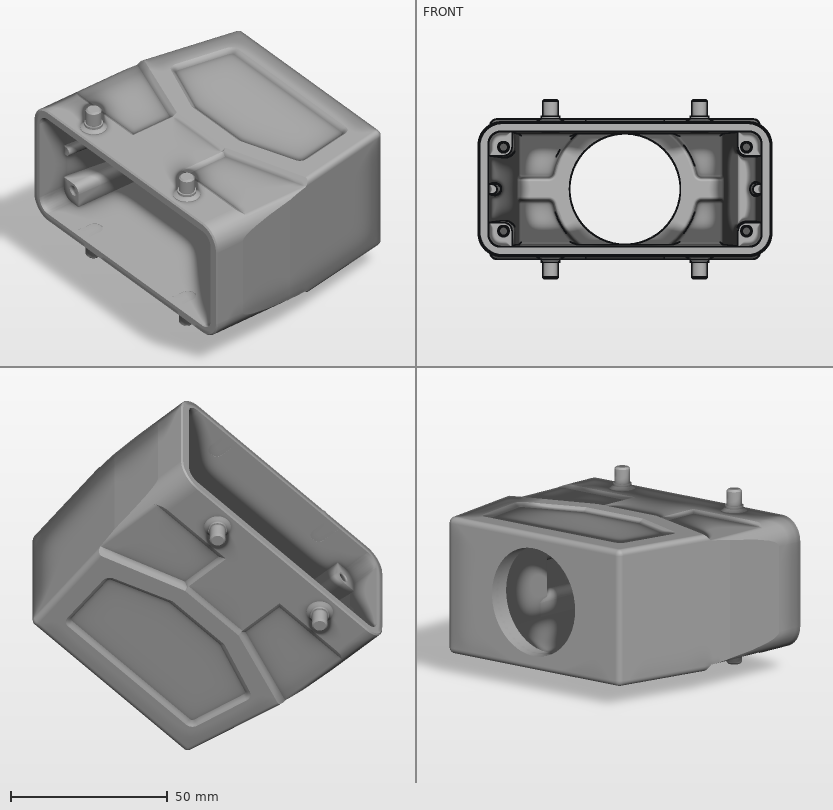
import cadquery as cq
LENGTH = 93.5
DEPTH = 76.0
RIM_HEIGHT = 42.8
RIM_CORNER_R = 7.5
RIM_CHAMFER = 0.5
BACK_HEIGHT = 44.7
BACK_HALF_LENGTH = 36.3
STRAIGHT_DEPTH = 10.7
KNEE_DEPTH = 31.8
KNEE_HALF_LENGTH = 44.4
BACK_FILLET = 1.9

PANEL_FRONT_Y = 31.0
PANEL_FRONT_HALF = 12.4
PANEL_SLOPE = 0.34
PANEL_BEVEL_ANGLE = 45.0
PANEL_FRONT_RUN = 1.7
PAD_FRONT_Y = 13.1
PAD_FLOOR_Z = 20.4
PAD_BEVEL_ANGLE = 58.0
PAD_EDGE_R = 2.1

LABEL_BACK_Y = 68.1
LABEL_BACK_HALF = 29.7
LABEL_SIDE_Y = 45.0
LABEL_SIDE_HALF = 33.85
LABEL_FRONT_Y = 36.8
LABEL_FRONT_HALF = 12.1
LABEL_CORNER_R = 2.8
LABEL_DEPTH = 1.3
LABEL_BEVEL_ANGLE = 53.0

PIN_X = 23.75
PIN_Y = 6.2
PIN_TOP_Z = 28.5
PIN_R = 2.5
PIN_CHAMFER = 0.6
COLLAR_R = 3.0
COLLAR_TOP_Z = 23.3
FLANGE_EDGE_Z = 21.6
FLANGE_R = 4.3
FLANGE_TOP_Z = 22.4
PIN_FLAT_Z = 18.4
PIN_FLAT_R = 2.6
PIN_FLAT_CENTRE_Y = 6.5

MOUTH_LENGTH = 87.1
MOUTH_HEIGHT = 36.8
MOUTH_CORNER_R = 4.0
CAVITY_DRAFT = 0.6
CAVITY_DEPTH = 72.9
CAVITY_STRAIGHT_DEPTH = 10.3
LEFT_FLOOR_X = -33.7
LEDGE_Y = 28.05
LEDGE_OUTER_X = 41.6
LEDGE_INNER_X = 36.0
RIGHT_FLOOR_X = 31.0
CAVITY_FILLET = 0.8

POST_FRONT_Y = 9.8
POST_X = 38.7
POST_Z = 13.4
POST_R = 2.7
POST_DRAFT = 1.2
SCREW_HOLE_R = 1.4
SCREW_HOLE_CHAMFER = 0.4
SCREW_HOLE_DEPTH = 14.0
GUIDE_X = 42.3
GUIDE_R = 1.5
GUIDE_DRAFT = 3.0

OPENING_R = 17.625
RING_R = 23.6
RIB_HALF_WIDTH = 3.9
RING_HEIGHT = 3.7
RING_DRAFT = 12.0
RING_CORNER_R = 1.4


def facing_back(y):
    """Workplane at depth y whose normal is +Y; local x is -X and local y is Z."""
    return cq.Workplane(cq.Plane((0, y, 0), xDir=(-1, 0, 0), normal=(0, 1, 0)))


def mirrored(half):
    """Close a half outline (x > 0) with its reflection in X."""
    return half + [(-x, y) for x, y in reversed(half)]


def on_both_faces(solid):
    return solid.union(solid.mirror("XY"))


def on_both_ends(solid):
    return solid.union(solid.mirror("YZ"))


def nearest_all(points):
    """Selector for the edges closest to any of the points."""
    selectors = [cq.selectors.NearestToPointSelector(point) for point in points]
    chosen = selectors[0]
    for selector in selectors[1:]:
        chosen = chosen + selector
    return chosen


def panel_line_y(x):
    """Depth of the panel's slanted front edge at x."""
    return PANEL_FRONT_Y + PANEL_SLOPE * (x - PANEL_FRONT_HALF)


def hull():
    outline = mirrored([
        (LENGTH / 2, 0),
        (LENGTH / 2, STRAIGHT_DEPTH),
        (KNEE_HALF_LENGTH, KNEE_DEPTH),
        (BACK_HALF_LENGTH, DEPTH),
    ])
    body = cq.Workplane("XY").polyline(outline).close().extrude(BACK_HEIGHT / 2, both=True)
    behind_knee = cq.selectors.BoxSelector(
        (-LENGTH, KNEE_DEPTH + 0.9, -LENGTH), (LENGTH, DEPTH + 0.9, LENGTH))
    return body.edges(behind_knee).fillet(BACK_FILLET)


def rim_block():
    block = facing_back(0).rect(LENGTH, RIM_HEIGHT).extrude(DEPTH)
    return block.edges("|Y").fillet(RIM_CORNER_R).faces("<Y").edges().chamfer(RIM_CHAMFER)


def raised_panel():
    outline = mirrored([
        (PANEL_FRONT_HALF, PANEL_FRONT_Y),
        (LENGTH, panel_line_y(LENGTH)),
        (LENGTH, 2 * DEPTH),
    ])
    sketch = cq.Workplane("XY", origin=(0, 0, -BACK_HEIGHT / 2)).polyline(outline).close()
    panel = sketch.extrude(BACK_HEIGHT / 2 - PAD_FLOOR_Z, taper=-PANEL_BEVEL_ANGLE)
    front_slope = [
        (PANEL_FRONT_Y, -BACK_HEIGHT / 2),
        (PANEL_FRONT_Y - PANEL_FRONT_RUN, -RIM_HEIGHT / 2),
        (PANEL_FRONT_Y, -RIM_HEIGHT / 2),
    ]
    wedge = cq.Workplane("YZ").polyline(front_slope).close().extrude(PANEL_FRONT_HALF, both=True)
    return panel.union(wedge)


def pad_recess():
    outline = [
        (PANEL_FRONT_HALF, PAD_FRONT_Y),
        (LENGTH, PAD_FRONT_Y),
        (LENGTH, panel_line_y(LENGTH)),
        (PANEL_FRONT_HALF, PANEL_FRONT_Y),
    ]
    sketch = cq.Workplane("XY", origin=(0, 0, -RIM_HEIGHT / 2)).polyline(outline).close()
    return on_both_ends(sketch.extrude(RIM_HEIGHT / 2 - PAD_FLOOR_Z, taper=PAD_BEVEL_ANGLE))


def label_recess():
    outline = mirrored([
        (LABEL_FRONT_HALF, LABEL_FRONT_Y),
        (LABEL_SIDE_HALF, LABEL_SIDE_Y),
        (LABEL_BACK_HALF, LABEL_BACK_Y),
    ])
    prism = cq.Workplane("XY", origin=(0, 0, -BACK_HEIGHT / 2)).polyline(outline).close().extrude(0.9)
    behind_front = cq.selectors.BoxSelector(
        (-LENGTH, LABEL_FRONT_Y + 0.9, -LENGTH), (LENGTH, DEPTH, LENGTH))
    prism = prism.edges("|Z").edges(behind_front).fillet(LABEL_CORNER_R)
    opening = prism.faces("<Z").wires().toPending()
    return opening.extrude(LABEL_DEPTH, combine=False, taper=LABEL_BEVEL_ANGLE)


def pins():
    profile = [
        (0, PIN_FLAT_Z + 0.9),
        (FLANGE_R, PIN_FLAT_Z + 0.9),
        (FLANGE_R, FLANGE_EDGE_Z),
        (COLLAR_R, FLANGE_TOP_Z),
        (COLLAR_R, COLLAR_TOP_Z),
        (PIN_R, COLLAR_TOP_Z),
        (PIN_R, PIN_TOP_Z - PIN_CHAMFER),
        (PIN_R - PIN_CHAMFER, PIN_TOP_Z),
        (0, PIN_TOP_Z),
    ]
    pin = cq.Workplane("XZ").polyline(profile).close().revolve(360, (0, 0), (0, 1))
    return on_both_faces(on_both_ends(pin.translate((PIN_X, PIN_Y, 0))))


def pin_flats():
    """Shallow round-ended flats that run from the rim to each pin's root."""
    slot_length = 2 * (PIN_FLAT_CENTRE_Y + PIN_FLAT_R)
    slots = cq.Workplane("XY").pushPoints([(-PIN_X, 0), (PIN_X, 0)]).slot2D(slot_length, 2 * PIN_FLAT_R, 90)
    return slots.extrude(PIN_FLAT_Z, both=True)


def screw_posts():
    inner_x = POST_X - POST_R
    inner_z = POST_Z - POST_R
    outer_x = MOUTH_LENGTH / 2
    outer_z = MOUTH_HEIGHT / 2
    post = (
        facing_back(POST_FRONT_Y)
        .moveTo(outer_x, outer_z)
        .lineTo(inner_x, outer_z)
        .lineTo(inner_x, POST_Z)
        .radiusArc((POST_X, inner_z), -POST_R)
        .lineTo(outer_x, inner_z)
        .close()
        .extrude(CAVITY_DEPTH, taper=-POST_DRAFT)
    )
    at_hole = cq.selectors.NearestToPointSelector((-POST_X, POST_FRONT_Y, POST_Z))
    hole = facing_back(POST_FRONT_Y).center(POST_X, POST_Z).circle(SCREW_HOLE_R)
    post = post.cut(hole.extrude(SCREW_HOLE_DEPTH))
    post = post.faces("<Y").edges("%CIRCLE").edges(at_hole).chamfer(SCREW_HOLE_CHAMFER)
    return on_both_faces(on_both_ends(post))


def guide_ribs():
    sketch = facing_back(POST_FRONT_Y).center(GUIDE_X + GUIDE_R, 0).slot2D(4 * GUIDE_R, 2 * GUIDE_R)
    return on_both_ends(sketch.extrude(CAVITY_DEPTH, taper=-GUIDE_DRAFT))


def floor_ring():
    """Ring around the cable opening, joined to a rib that crosses the cavity floor."""
    floor = cq.Workplane("XZ", origin=(0, CAVITY_DEPTH, 0))
    disc = floor.circle(RING_R).extrude(0.9)
    bar = floor.rect(LENGTH, 2 * RIB_HALF_WIDTH).extrude(0.9)
    between = cq.selectors.BoxSelector(
        (-RING_R, 0, -RIB_HALF_WIDTH - 0.9), (RING_R, DEPTH, RIB_HALF_WIDTH + 0.9))
    prism = disc.union(bar).edges("|Y").edges(between).fillet(RING_CORNER_R)
    ring = prism.faces(">Y").wires().toPending().extrude(RING_HEIGHT, combine=False, taper=RING_DRAFT)
    return ring.faces("<Y").edges().fillet(CAVITY_FILLET)


def cavity():
    outline = [
        (-MOUTH_LENGTH / 2, 0),
        (-MOUTH_LENGTH / 2, CAVITY_STRAIGHT_DEPTH),
        (LEFT_FLOOR_X, CAVITY_DEPTH),
        (RIGHT_FLOOR_X, CAVITY_DEPTH),
        (LEDGE_INNER_X, LEDGE_Y),
        (LEDGE_OUTER_X, LEDGE_Y),
        (MOUTH_LENGTH / 2, CAVITY_STRAIGHT_DEPTH),
        (MOUTH_LENGTH / 2, 0),
    ]
    space = cq.Workplane("XY").polyline(outline).close().extrude(RIM_HEIGHT / 2, both=True)
    at_ledge = cq.selectors.BoxSelector(
        (0, LEDGE_Y - 0.9, -LENGTH), (LENGTH, LEDGE_Y + 0.9, LENGTH))
    space = space.edges("|Z").edges(at_ledge).fillet(CAVITY_FILLET)
    mouth = facing_back(0).rect(MOUTH_LENGTH, MOUTH_HEIGHT).extrude(0.9).edges("|Y").fillet(MOUTH_CORNER_R)
    mouth = mouth.faces("<Y").wires().toPending().extrude(CAVITY_DEPTH, combine=False, taper=CAVITY_DRAFT)
    space = space.intersect(mouth).cut(floor_ring())
    space = space.faces(">Y").edges().fillet(CAVITY_FILLET)
    ring_top_y = CAVITY_DEPTH - RING_HEIGHT
    at_ring_top = cq.selectors.BoxSelector(
        (-LENGTH, ring_top_y - 0.1, -0.9), (LENGTH, ring_top_y + 0.1, 0.9))
    space = space.edges("|Z").edges(at_ring_top).fillet(CAVITY_FILLET)
    return space.cut(screw_posts()).cut(guide_ribs()).union(pin_flats())


def outer_body():
    shell = hull()
    base = shell.intersect(rim_block()).cut(on_both_faces(pad_recess()))
    pad_middle_y = (PAD_FRONT_Y + PANEL_FRONT_Y) / 2
    pad_edge_points = [
        (x, pad_middle_y, z)
        for x in (-KNEE_HALF_LENGTH, KNEE_HALF_LENGTH)
        for z in (-PAD_FLOOR_Z, PAD_FLOOR_Z)
    ]
    base = base.edges("|Y").edges(nearest_all(pad_edge_points)).fillet(PAD_EDGE_R)
    panel = shell.intersect(on_both_faces(raised_panel()))
    return base.union(panel).cut(on_both_faces(label_recess())).union(pins())


cable_opening = facing_back(CAVITY_DEPTH - 2 * RING_HEIGHT).circle(OPENING_R).extrude(DEPTH)
result = outer_body().cut(cavity()).cut(cable_opening)